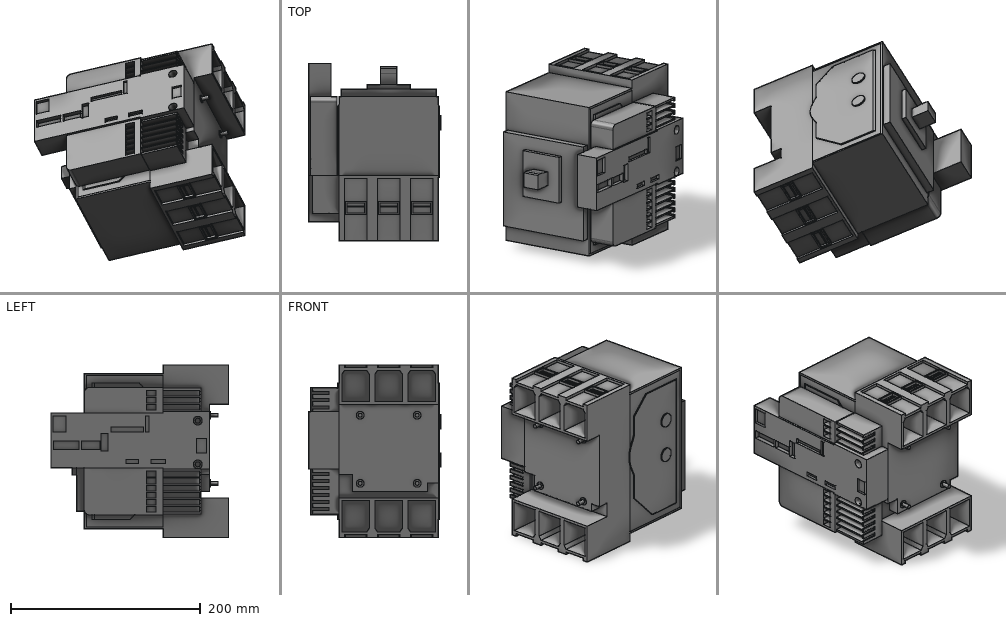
import cadquery as cq


HOUSING_WIDTH = 104.6
HALF_WIDTH = HOUSING_WIDTH / 2
TERMINAL_HEIGHT = 182.0
TERMINAL_INNER_Z = 49.3
TERMINAL_DEPTH = 69.0
BODY_HEIGHT = 163.6
BODY_BACK_Y = 152.0
MOUNT_FACE_Y = 20.0
LOWER_FACE_Y = 32.0
MOUNT_BOTTOM_Z = -42.6
LEFT_NOTCH_WIDTH = 14.2
LEFT_NOTCH_TOP_Z = -24.7
RIGHT_NOTCH_WIDTH = 11.3
RIGHT_NOTCH_TOP_Z = -33.7

POLE_PITCH = 34.8
POLE_COUNT = 3
CAVITY_WIDTH = 29.2
CAVITY_HEIGHT = 32.8
CAVITY_DEPTH = 45.0
CAVITY_FLOOR = 2.9
CAVITY_CHAMFER_X = 2.7
CAVITY_CHAMFER_Z = 4.0
RECESS_WIDTH = 23.7
RECESS_LENGTH = 66.0
RECESS_DEPTH = 3.0
FRAME_WIDTH = 21.5
FRAME_LENGTH = 13.4
FRAME_FRONT_Y = 28.0
FRAME_WALL = 1.6
CLIP_WIDTH = FRAME_WIDTH - 2 * FRAME_WALL
CLIP_THICKNESS = 1.5
CLIP_HEIGHT = 0.6
CLIP_Y = 36.3

COVER_WIDTH = 100.4
COVER_BACK_Y = 160.0
COVER_BOTTOM_Z = -63.5
COVER_TOP_Z = 40.0
PLATE_WIDTH = 45.6
PLATE_BACK_Y = 164.7
PLATE_HALF_HEIGHT = 25.2
LEVER_WIDTH = 17.4
LEVER_BOTTOM_Z = -8.0
LEVER_ROOT_Z = 7.0
LEVER_SHOULDER = (176.3, 8.5)
LEVER_ROUND_MID = (179.0, 8.85)
LEVER_CREST = (181.5, 8.8)
LEVER_TIP = (183.6, 7.8)

PANEL_MARGIN = 2.2
PANEL_THICKNESS = 2.0
PANEL_HEIGHT = BODY_HEIGHT - 2 * PANEL_MARGIN
PANEL_BACK_Y = BODY_BACK_Y - PANEL_MARGIN
PAD_THICKNESS = 1.4
PAD_BACK_Y = 144.0
PAD_RAMP_LENGTH = 2.6
PAD_FRONT_Y = 74.3
PAD_HALF_HEIGHT = 71.7
PAD_TOP_CORNER_Y = 94.0
PAD_BOTTOM_CORNER_Y = 103.6
PAD_SLOPE_RUN_TOP = PAD_TOP_CORNER_Y - PAD_FRONT_Y
PAD_SLOPE_RUN_BOTTOM = PAD_BOTTOM_CORNER_Y - PAD_FRONT_Y
BULGE_FRONT_Y = 67.0
BULGE_SHOULDER_Y = 69.3
BULGE_CENTRE_Z = 7.3
BULGE_SHOULDER = 11.7
BULGE_ROOT = 22.5
DISC_DIAMETER = 15.0
DISC_THICKNESS = 1.4
DISC_Y = 124.6
DISC_ZS = (30.9, -9.2)

SCREW_XS = (-30.0, 30.0)
SCREW_ZS = (37.9, -33.9)
COLLAR_DIAMETER = 8.1
COLLAR_THICKNESS = 0.8
SHANK_DIAMETER = 4.1
SHANK_TIP_Y = 11.0

SPINE_LEFT_X = -84.4
SPINE_BACK_Y = 187.0
SPINE_FOOT_BOTTOM_Z = -18.9
SPINE_FOOT_TOP_Z = 41.8
SPINE_BOTTOM_Z = -17.5
SPINE_TOP_Z = 40.4
SPINE_TAIL_WIDTH = 23.8
CASE_LEFT_X = SPINE_LEFT_X + 2.2
CASE_RIGHT_X = -HALF_WIDTH - 2.1
CASE_HALF_HEIGHT = 67.1
CASE_CORNER_RADIUS = 5.5
AUX_TERMINAL_LEFT_X = SPINE_LEFT_X + 4.4
AUX_TERMINAL_HALF_HEIGHT = 66.3
AUX_TERMINAL_FRONT_Y = 29.0
SLOT_PITCH = 7.42
SLOT_OUTER_Z = 61.1
UPPER_SLOTS = 3
LOWER_SLOTS = 6
SLOT_ZS = [SLOT_OUTER_Z - SLOT_PITCH * i for i in range(UPPER_SLOTS)]
SLOT_ZS += [-SLOT_OUTER_Z + SLOT_PITCH * i for i in range(LOWER_SLOTS)]
SLOT_HEIGHT = 5.9
SLOT_FRONT_WALL = 1.5
SLIT_HEIGHT = 3.2
SLIT_RIGHT_X = -62.6
SLOT_RIGHT_X = SLIT_RIGHT_X + 1.5
WINDOW_FRONT_Y = 76.2
WINDOW_BACK_Y = 86.2
WINDOW_DEPTH = 8.0
MOUNT_HOLE_Y = 32.4
MOUNT_HOLE_ZS = (32.1, -13.8)
COUNTERBORE_DIAMETER = 9.2
COUNTERBORE_DEPTH = 15.0
MOUNT_HOLE_DIAMETER = 5.3
SPINE_POCKETS = (
    (171.0, 185.0, 20.3, 37.3, 3.0),
    (157.7, 184.5, 1.8, 10.7, 5.0),
    (135.5, 154.9, 1.8, 10.7, 4.5),
    (126.7, 134.1, 0.2, 18.8, 4.0),
    (89.5, 123.9, 20.3, 25.5, 3.0),
    (83.6, 87.4, 20.3, 37.3, 2.0),
    (94.7, 108.2, -13.1, -8.6, 3.0),
    (66.6, 81.7, -13.1, -8.6, 3.0),
    (23.0, 33.5, -1.9, 13.6, 2.5),
)


def block(x0, x1, y0, y1, z0, z1):
    """Box between the given limits."""
    return cq.Workplane("XY").box(x1 - x0, y1 - y0, z1 - z0, centered=False).translate((x0, y0, z0))


def centred_block(x, width, y0, y1, z0, z1):
    """Box of the given width, centred on x."""
    return block(x - width / 2, x + width / 2, y0, y1, z0, z1)


def rod_y(x, z, diameter, y0, y1):
    """Cylinder along Y from y0 to y1."""
    return cq.Workplane("XZ", origin=(x, y0, z)).circle(diameter / 2).extrude(y0 - y1)


def rod_x(y, z, diameter, x0, x1):
    """Cylinder along X from x0 to x1."""
    return cq.Workplane("YZ", origin=(x0, y, z)).circle(diameter / 2).extrude(x1 - x0)


def upper_pole_openings(x, chamfered_sides):
    """Conductor cavity and screw recess of one pole, for the upper terminal block."""
    top = TERMINAL_HEIGHT / 2
    floor = TERMINAL_INNER_Z + CAVITY_FLOOR
    ceiling = floor + CAVITY_HEIGHT
    openings = centred_block(x, CAVITY_WIDTH, 0, CAVITY_DEPTH, floor, ceiling)
    for side in chamfered_sides:
        edge = x + side * CAVITY_WIDTH / 2
        corner = [
            (edge, ceiling),
            (edge - side * CAVITY_CHAMFER_X, ceiling),
            (edge, ceiling - CAVITY_CHAMFER_Z),
        ]
        openings = openings.cut(cq.Workplane("XZ").polyline(corner).close().extrude(-CAVITY_DEPTH))
    recess_floor = top - RECESS_DEPTH
    frame_back = FRAME_FRONT_Y + FRAME_LENGTH
    recess = centred_block(x, RECESS_WIDTH, 0, RECESS_LENGTH, recess_floor, top)
    frame = centred_block(x, FRAME_WIDTH, FRAME_FRONT_Y, frame_back, recess_floor, top)
    window = centred_block(
        x, CLIP_WIDTH, FRAME_FRONT_Y + FRAME_WALL, frame_back - FRAME_WALL, recess_floor, top
    )
    clip = centred_block(
        x, CLIP_WIDTH, CLIP_Y - CLIP_THICKNESS / 2, CLIP_Y + CLIP_THICKNESS / 2,
        recess_floor, recess_floor + CLIP_HEIGHT,
    )
    return openings.union(recess.cut(frame.cut(window)).cut(clip))


def lever():
    """Lever standing out of the plate, with a gently domed top and a bevelled tip."""
    return (
        cq.Workplane("YZ", origin=(-LEVER_WIDTH / 2, 0, 0))
        .moveTo(PLATE_BACK_Y, LEVER_BOTTOM_Z)
        .lineTo(PLATE_BACK_Y, LEVER_ROOT_Z)
        .lineTo(*LEVER_SHOULDER)
        .threePointArc(LEVER_ROUND_MID, LEVER_CREST)
        .lineTo(*LEVER_TIP)
        .lineTo(LEVER_TIP[0], LEVER_BOTTOM_Z)
        .close()
        .extrude(LEVER_WIDTH)
    )


def make_housing():
    half_terminal = TERMINAL_HEIGHT / 2
    half_body = BODY_HEIGHT / 2
    housing = block(-HALF_WIDTH, HALF_WIDTH, LOWER_FACE_Y, BODY_BACK_Y, -half_body, half_body)
    for z0, z1 in ((TERMINAL_INNER_Z, half_terminal), (-half_terminal, -TERMINAL_INNER_Z)):
        housing = housing.union(block(-HALF_WIDTH, HALF_WIDTH, 0, TERMINAL_DEPTH, z0, z1))

    mount = block(-HALF_WIDTH, HALF_WIDTH, MOUNT_FACE_Y, LOWER_FACE_Y, MOUNT_BOTTOM_Z, TERMINAL_INNER_Z)
    left_notch_x = LEFT_NOTCH_WIDTH - HALF_WIDTH
    right_notch_x = HALF_WIDTH - RIGHT_NOTCH_WIDTH
    mount = mount.cut(
        block(-HALF_WIDTH, left_notch_x, MOUNT_FACE_Y, LOWER_FACE_Y, MOUNT_BOTTOM_Z, LEFT_NOTCH_TOP_Z)
    )
    mount = mount.cut(
        block(right_notch_x, HALF_WIDTH, MOUNT_FACE_Y, LOWER_FACE_Y, MOUNT_BOTTOM_Z, RIGHT_NOTCH_TOP_Z)
    )
    housing = housing.union(mount)

    for i in range(POLE_COUNT):
        offset = i - (POLE_COUNT - 1) / 2
        x = offset * POLE_PITCH
        lower_sides = [side for side in (-1, 1) if side != offset]
        housing = housing.cut(upper_pole_openings(x, (-1, 1)))
        housing = housing.cut(upper_pole_openings(x, lower_sides).mirror("XY"))

    cover = centred_block(0, COVER_WIDTH, BODY_BACK_Y, COVER_BACK_Y, COVER_BOTTOM_Z, COVER_TOP_Z)
    plate = centred_block(
        0, PLATE_WIDTH, COVER_BACK_Y, PLATE_BACK_Y, -PLATE_HALF_HEIGHT, PLATE_HALF_HEIGHT
    )
    return housing.union(cover).union(plate).union(lever())


def make_right_panel():
    """Panel let into the side wall, with a raised pad: ramped at the back, bulging at the front."""
    half_height = PANEL_HEIGHT / 2
    inner_x = HALF_WIDTH - PANEL_THICKNESS
    panel = block(inner_x, HALF_WIDTH, TERMINAL_DEPTH, PANEL_BACK_Y, -half_height, half_height)
    pad = (
        cq.Workplane("YZ", origin=(HALF_WIDTH, 0, 0))
        .moveTo(PAD_BACK_Y, PAD_HALF_HEIGHT)
        .lineTo(PAD_TOP_CORNER_Y, PAD_HALF_HEIGHT)
        .lineTo(PAD_FRONT_Y, PAD_HALF_HEIGHT - PAD_SLOPE_RUN_TOP)
        .lineTo(PAD_FRONT_Y, BULGE_CENTRE_Z + BULGE_ROOT)
        .lineTo(BULGE_SHOULDER_Y, BULGE_CENTRE_Z + BULGE_SHOULDER)
        .threePointArc(
            (BULGE_FRONT_Y, BULGE_CENTRE_Z), (BULGE_SHOULDER_Y, BULGE_CENTRE_Z - BULGE_SHOULDER)
        )
        .lineTo(PAD_FRONT_Y, BULGE_CENTRE_Z - BULGE_ROOT)
        .lineTo(PAD_FRONT_Y, -PAD_HALF_HEIGHT + PAD_SLOPE_RUN_BOTTOM)
        .lineTo(PAD_BOTTOM_CORNER_Y, -PAD_HALF_HEIGHT)
        .lineTo(PAD_BACK_Y, -PAD_HALF_HEIGHT)
        .close()
        .extrude(PAD_THICKNESS)
    )
    ramp = (
        cq.Workplane("XY", origin=(0, 0, -PAD_HALF_HEIGHT))
        .moveTo(HALF_WIDTH, PAD_BACK_Y)
        .lineTo(HALF_WIDTH + PAD_THICKNESS, PAD_BACK_Y)
        .lineTo(HALF_WIDTH + PAD_THICKNESS, PAD_BACK_Y - PAD_RAMP_LENGTH)
        .close()
        .extrude(2 * PAD_HALF_HEIGHT)
    )
    return panel.union(pad.cut(ramp))


def discs():
    """Round buttons on the pad of the right-hand panel."""
    pad_face_x = HALF_WIDTH + PAD_THICKNESS
    buttons = cq.Workplane("XY")
    for z in DISC_ZS:
        buttons = buttons.union(rod_x(DISC_Y, z, DISC_DIAMETER, pad_face_x, pad_face_x + DISC_THICKNESS))
    return buttons


def make_screw(x, z):
    """Screw end standing on the mounting face: a thin collar and a shank."""
    collar_y = MOUNT_FACE_Y - COLLAR_THICKNESS
    collar = rod_y(x, z, COLLAR_DIAMETER, collar_y, MOUNT_FACE_Y)
    return collar.union(rod_y(x, z, SHANK_DIAMETER, SHANK_TIP_Y, collar_y))


def make_auxiliary_module():
    left = SPINE_LEFT_X
    housing_x = -HALF_WIDTH
    foot = block(left, housing_x, MOUNT_FACE_Y, TERMINAL_DEPTH, SPINE_FOOT_BOTTOM_Z, SPINE_FOOT_TOP_Z)
    spine = block(left, CASE_RIGHT_X, TERMINAL_DEPTH, BODY_BACK_Y, SPINE_BOTTOM_Z, SPINE_TOP_Z)
    tail = block(left, left + SPINE_TAIL_WIDTH, BODY_BACK_Y, SPINE_BACK_Y, SPINE_BOTTOM_Z, SPINE_TOP_Z)
    case = block(
        CASE_LEFT_X, CASE_RIGHT_X, TERMINAL_DEPTH, BODY_BACK_Y, -CASE_HALF_HEIGHT, CASE_HALF_HEIGHT
    )
    case = case.edges("|X and >Y").fillet(CASE_CORNER_RADIUS)
    terminals = block(
        AUX_TERMINAL_LEFT_X, housing_x, AUX_TERMINAL_FRONT_Y, TERMINAL_DEPTH,
        -AUX_TERMINAL_HALF_HEIGHT, AUX_TERMINAL_HALF_HEIGHT,
    )

    slot_y = AUX_TERMINAL_FRONT_Y + SLOT_FRONT_WALL
    for z in SLOT_ZS:
        z0 = z - SLOT_HEIGHT / 2
        z1 = z + SLOT_HEIGHT / 2
        slot = block(AUX_TERMINAL_LEFT_X, SLOT_RIGHT_X, slot_y, TERMINAL_DEPTH, z0, z1)
        slit = block(
            AUX_TERMINAL_LEFT_X, SLIT_RIGHT_X, AUX_TERMINAL_FRONT_Y, slot_y,
            z - SLIT_HEIGHT / 2, z + SLIT_HEIGHT / 2,
        )
        window = block(CASE_LEFT_X, CASE_LEFT_X + WINDOW_DEPTH, WINDOW_FRONT_Y, WINDOW_BACK_Y, z0, z1)
        terminals = terminals.cut(slot).cut(slit)
        case = case.cut(window)

    module = foot.union(spine).union(tail).union(case).union(terminals)
    for y0, y1, z0, z1, depth in SPINE_POCKETS:
        module = module.cut(block(left, left + depth, y0, y1, z0, z1))
    for z in MOUNT_HOLE_ZS:
        module = module.cut(rod_x(MOUNT_HOLE_Y, z, COUNTERBORE_DIAMETER, left, left + COUNTERBORE_DEPTH))
        module = module.cut(rod_x(MOUNT_HOLE_Y, z, MOUNT_HOLE_DIAMETER, left, housing_x))
    return module


plain_panel = make_right_panel()
left_panel = plain_panel.mirror("YZ")
right_panel = plain_panel.union(discs())
housing = make_housing().cut(left_panel).cut(right_panel)
auxiliary_module = make_auxiliary_module().cut(left_panel)
screws = [make_screw(x, z) for x in SCREW_XS for z in SCREW_ZS]

result = cq.Compound.makeCompound(
    [
        housing.solids().val(),
        left_panel.solids().val(),
        right_panel.solids().val(),
        auxiliary_module.solids().val(),
        *[screw.solids().val() for screw in screws],
    ]
)